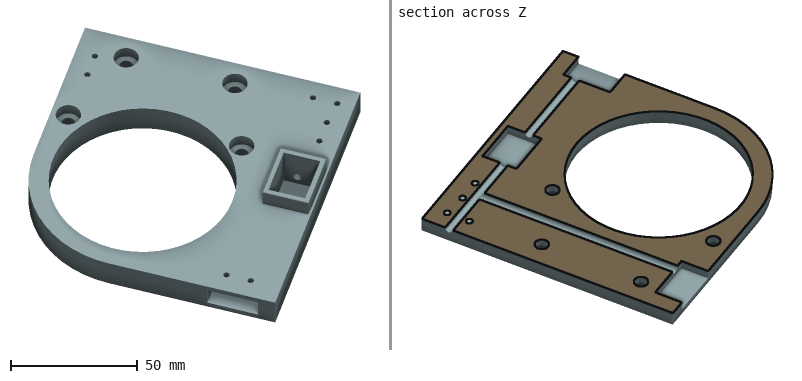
import cadquery as cq

side = 113.5
plate_height = 12.0
mid_height = plate_height / 2
corner_radius = 45.0
bore_radius = 37.0

mount_points = [(20.1, 103.4), (64.9, 103.4), (7.0, 68.5), (77.0, 73.4)]
mount_diameter = 5.5
counterbore_diameter = 10.0
counterbore_depth = 5.0

socket_x = 103.1
socket_y = 59.4
socket_length_x = 19.0
socket_length_y = 24.0
socket_top = 19.0
socket_wall = 1.9
socket_floor = 2.0
rim_chamfer = 0.2

slot_width = 20.9
slot_height = 7.4
slot_depth = 12.0
front_slot_x = 95.9
left_slot_y = 95.6
front_channel_x = 101.1
front_channel_diameter = 3.4
left_channel_y = 90.2
left_channel_diameter = 4.0

pin_diameter = 2.5
pin_spacing = 10.0
pin_inset = 8.1
rear_pins_x = 101.5
right_pins_y = 89.9


def box(length_x, length_y, height, center_x, center_y, bottom):
    """Box centred in X and Y, standing on the given height."""
    block = cq.Workplane("XY").box(length_x, length_y, height, centered=(True, True, False))
    return block.translate((center_x, center_y, bottom))


def make_plate():
    plate = cq.Workplane("XY").box(side, side, plate_height, centered=False)
    plate = plate.edges("|Z and <X and <Y").fillet(corner_radius)
    bore = cq.Workplane("XY").center(corner_radius, corner_radius).circle(bore_radius).extrude(plate_height)
    return plate.cut(bore)


def add_socket(body):
    socket_height = socket_top - plate_height
    outer = box(socket_length_x, socket_length_y, socket_height, socket_x, socket_y, plate_height)
    outer = outer.faces(">Z").edges().chamfer(rim_chamfer)
    cavity_x = socket_length_x - 2 * socket_wall
    cavity_y = socket_length_y - 2 * socket_wall
    cavity = box(cavity_x, cavity_y, socket_top - socket_floor, socket_x, socket_y, socket_floor)
    return body.union(outer).cut(cavity)


def cut_mount_holes(body):
    holes = cq.Workplane("XY").pushPoints(mount_points).circle(mount_diameter / 2).extrude(plate_height)
    counterbores = (
        cq.Workplane("XY", origin=(0, 0, plate_height))
        .pushPoints(mount_points)
        .circle(counterbore_diameter / 2)
        .extrude(-counterbore_depth)
    )
    return body.cut(holes).cut(counterbores)


def cut_slots(body):
    slot_bottom = mid_height - slot_height / 2
    front_slot = box(slot_width, slot_depth, slot_height, front_slot_x, slot_depth / 2, slot_bottom)
    left_slot = box(slot_depth, slot_width, slot_height, slot_depth / 2, left_slot_y, slot_bottom)
    return body.cut(front_slot).cut(left_slot)


def cut_channels(body):
    """One channel crosses the whole part along Y; the other runs along X and ends where it meets it."""
    front_channel = (
        cq.Workplane("XZ", origin=(front_channel_x, 0, mid_height))
        .circle(front_channel_diameter / 2)
        .extrude(-side)
    )
    left_channel = (
        cq.Workplane("YZ", origin=(0, left_channel_y, mid_height))
        .circle(left_channel_diameter / 2)
        .extrude(front_channel_x)
    )
    return body.cut(front_channel).cut(left_channel)


def cut_pin_holes(body):
    points = []
    for offset in (-pin_spacing / 2, pin_spacing / 2):
        points.append((front_slot_x + offset, pin_inset))
        points.append((pin_inset, left_slot_y + offset))
        points.append((rear_pins_x + offset, side - pin_inset))
        points.append((side - pin_inset, right_pins_y + offset))
    pins = (
        cq.Workplane("XY", origin=(0, 0, plate_height))
        .pushPoints(points)
        .circle(pin_diameter / 2)
        .extrude(-mid_height)
    )
    return body.cut(pins)


result = make_plate()
result = add_socket(result)
result = cut_mount_holes(result)
result = cut_slots(result)
result = cut_channels(result)
result = cut_pin_holes(result)